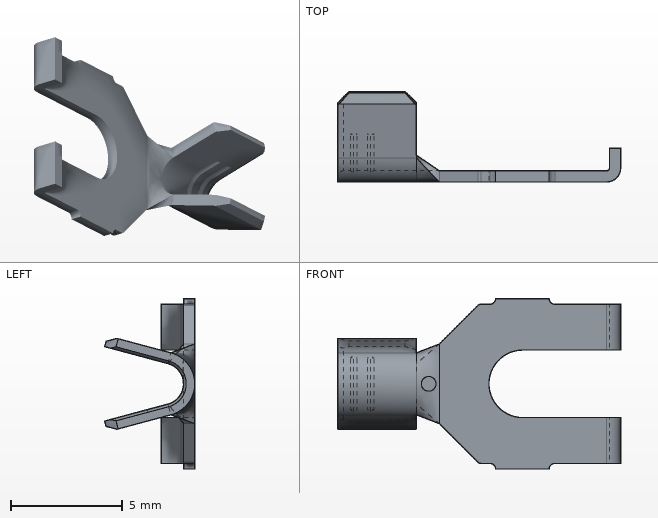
import math

import cadquery as cq

sheet = 0.508

barrel_length = 3.53
barrel_inset = 0.01
back_radius = 1.443
inner_radius = back_radius - sheet
back_center_y = barrel_inset + back_radius
leg_angle = 15.0
leg_length = 2.948
tip_bevel_length = 0.44
tip_bevel_depth = sheet / 2
tip_corner_cut = 0.5

mouth_bevel_length = 0.25
mouth_bevel_depth = 0.127
serration_width = 0.29
serration_depth = 0.127
serration_positions = (0.715, 1.475)
serration_leg_reach = 0.97
cutter_overlap = 0.05

neck_end_x = 4.56
neck_half_height = 1.79
flat_x = 4.08
flat_radius = 0.33
flat_depth = sheet / 2

fork_end_x = 12.7
fork_half_height = 3.575
shoulder_angle = 45.0
shoulder_x = neck_end_x + (fork_half_height - neck_half_height) / math.tan(math.radians(shoulder_angle))
shoulder_radius = 0.2
pad_start_x = 7.08
pad_end_x = 9.49
pad_width = 7.65
pad_half_height = pad_width / 2
pad_fillet = pad_half_height - fork_half_height
slot_half_width = 1.51
slot_center_x = 8.3

bend_inner_radius = 0.127
bend_outer_radius = bend_inner_radius + sheet
bent_tip_depth = 1.52

leg_cos = math.cos(math.radians(leg_angle))
leg_sin = math.sin(math.radians(leg_angle))


def leg_point(along, radius, side):
    """(Y, Z) of a point on a leg: `along` from where it leaves the round back, `radius` across the sheet."""
    y = back_center_y + along * leg_cos - radius * leg_sin
    z = along * leg_sin + radius * leg_cos
    return (y, side * z)


def make_barrel():
    outer_flat = leg_length - tip_bevel_length
    bevel_radius = back_radius - tip_bevel_depth
    profile = (
        cq.Workplane("YZ")
        .moveTo(*leg_point(0, back_radius, -1))
        .threePointArc((back_center_y - back_radius, 0), leg_point(0, back_radius, 1))
        .lineTo(*leg_point(outer_flat, back_radius, 1))
        .lineTo(*leg_point(leg_length, bevel_radius, 1))
        .lineTo(*leg_point(leg_length, inner_radius, 1))
        .lineTo(*leg_point(0, inner_radius, 1))
        .threePointArc((back_center_y - inner_radius, 0), leg_point(0, inner_radius, -1))
        .lineTo(*leg_point(leg_length, inner_radius, -1))
        .lineTo(*leg_point(leg_length, bevel_radius, -1))
        .lineTo(*leg_point(outer_flat, back_radius, -1))
        .close()
    )
    return profile.extrude(barrel_length)


def make_tip_corner_cutters():
    """Triangular prisms square to the legs that cut the four tip corners at 45 degrees."""
    cutters = cq.Workplane("XY")
    for side in (1, -1):
        tip_y, tip_z = leg_point(leg_length, inner_radius, side)
        plane = cq.Plane(
            origin=(0, tip_y, tip_z),
            xDir=(1, 0, 0),
            normal=(0, -leg_sin, side * leg_cos),
        )
        toward_back = -side
        for edge_x, inward in ((0, 1), (barrel_length, -1)):
            corner = (
                cq.Workplane(plane)
                .moveTo(edge_x, 0)
                .lineTo(edge_x + inward * tip_corner_cut, 0)
                .lineTo(edge_x, toward_back * tip_corner_cut)
                .close()
                .extrude(sheet, both=True)
            )
            cutters = cutters.add(corner)
    return cutters.combine()


def sweep_inside_barrel(section, leg_reach):
    """Sweep (X, depth into the sheet) points round the barrel's inner face, up both legs."""
    path = (
        cq.Workplane("YZ")
        .moveTo(*leg_point(leg_reach, inner_radius, -1))
        .lineTo(*leg_point(0, inner_radius, -1))
        .threePointArc((back_center_y - inner_radius, 0), leg_point(0, inner_radius, 1))
        .lineTo(*leg_point(leg_reach, inner_radius, 1))
    )
    start_y, start_z = leg_point(leg_reach, inner_radius, -1)
    plane = cq.Plane(
        origin=(0, start_y, start_z),
        xDir=(1, 0, 0),
        normal=(0, -leg_cos, leg_sin),
    )
    outward = plane.yDir.dot(cq.Vector(0, -leg_sin, -leg_cos))
    points = [(x, outward * depth) for x, depth in section]
    return cq.Workplane(plane).polyline(points).close().sweep(path)


def make_mouth_bevel():
    slope = mouth_bevel_depth / mouth_bevel_length
    section = [
        (-cutter_overlap, mouth_bevel_depth + slope * cutter_overlap),
        (mouth_bevel_length + cutter_overlap, -slope * cutter_overlap),
        (-cutter_overlap, -slope * cutter_overlap),
    ]
    return sweep_inside_barrel(section, leg_length + cutter_overlap)


def make_serration(center_x):
    half_width = serration_width / 2
    section = [
        (center_x - half_width, 0),
        (center_x, serration_depth),
        (center_x + half_width, 0),
        (center_x + half_width, -cutter_overlap),
        (center_x - half_width, -cutter_overlap),
    ]
    return sweep_inside_barrel(section, serration_leg_reach)


def make_neck():
    """Transition from the barrel's round back to the flat sheet of the fork."""
    neck = (
        cq.Workplane("YZ", origin=(barrel_length, 0, 0))
        .moveTo(*leg_point(0, back_radius, -1))
        .threePointArc((back_center_y - back_radius, 0), leg_point(0, back_radius, 1))
        .lineTo(*leg_point(0, inner_radius, 1))
        .threePointArc((back_center_y - inner_radius, 0), leg_point(0, inner_radius, -1))
        .close()
        .workplane(offset=neck_end_x - barrel_length)
        .moveTo(0, -neck_half_height)
        .lineTo(0, neck_half_height)
        .lineTo(sheet, neck_half_height)
        .lineTo(sheet, -neck_half_height)
        .close()
        .loft(ruled=True)
    )
    flat = (
        cq.Workplane("XZ")
        .center(flat_x, 0)
        .circle(flat_radius)
        .extrude(-flat_depth)
    )
    return neck.union(flat)


def half_outline(side):
    """Half of the fork plate's outline, from the centerline out to Z = side * pad_half_height."""
    return (
        cq.Workplane("XZ")
        .moveTo(neck_end_x, 0)
        .lineTo(neck_end_x, side * neck_half_height)
        .lineTo(shoulder_x, side * fork_half_height)
        .lineTo(pad_start_x - pad_fillet, side * fork_half_height)
        .radiusArc((pad_start_x, side * pad_half_height), -side * pad_fillet)
        .lineTo(pad_end_x, side * pad_half_height)
        .radiusArc((pad_end_x + pad_fillet, side * fork_half_height), -side * pad_fillet)
        .lineTo(fork_end_x, side * fork_half_height)
        .lineTo(fork_end_x, 0)
        .close()
        .extrude(-bent_tip_depth)
    )


def make_slot():
    return (
        cq.Workplane("XZ")
        .moveTo(fork_end_x, slot_half_width)
        .lineTo(slot_center_x, slot_half_width)
        .threePointArc((slot_center_x - slot_half_width, 0), (slot_center_x, -slot_half_width))
        .lineTo(fork_end_x, -slot_half_width)
        .close()
        .extrude(-bent_tip_depth)
    )


def make_bent_sheet():
    """The fork's sheet seen edge on: flat, then turned up square at the tips."""
    return (
        cq.Workplane("XY")
        .moveTo(neck_end_x, 0)
        .lineTo(fork_end_x - bend_outer_radius, 0)
        .radiusArc((fork_end_x, bend_outer_radius), -bend_outer_radius)
        .lineTo(fork_end_x, bent_tip_depth)
        .lineTo(fork_end_x - sheet, bent_tip_depth)
        .lineTo(fork_end_x - sheet, bend_outer_radius)
        .radiusArc((fork_end_x - bend_outer_radius, sheet), bend_inner_radius)
        .lineTo(neck_end_x, sheet)
        .close()
        .extrude(pad_half_height, both=True)
    )


def make_fork():
    blank = half_outline(1).union(half_outline(-1))
    shoulders = cq.selectors.BoxSelector(
        (shoulder_x - shoulder_radius, -sheet, -pad_half_height),
        (shoulder_x + shoulder_radius, bent_tip_depth + sheet, pad_half_height),
    )
    blank = blank.edges("|Y").edges(shoulders).fillet(shoulder_radius)
    return make_bent_sheet().intersect(blank.cut(make_slot()))


barrel = make_barrel().cut(make_tip_corner_cutters()).cut(make_mouth_bevel())
for serration_x in serration_positions:
    barrel = barrel.cut(make_serration(serration_x))

result = barrel.union(make_neck()).union(make_fork())